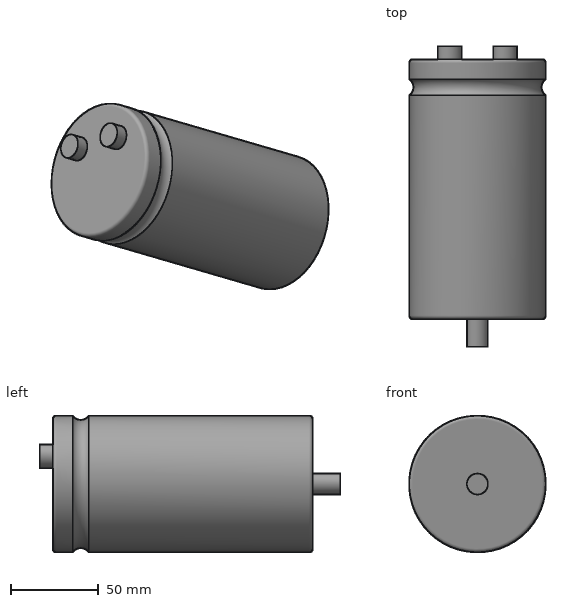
import cadquery as cq

overall_length = 171.6
can_radius = 78.0 / 2

stud_diameter = 12.0
stud_length = 15.8
terminal_diameter = 13.7
terminal_height = 7.5
terminal_offset = 15.8

can_length = overall_length - stud_length - terminal_height
edge_radius = 2.0

groove_center = can_length - 16.0
groove_half_width = 4.6
groove_depth = 2.4

pin_overlap = 1.7


def make_can():
    """Revolve the can profile, including the arc of the crimp groove, about Y."""
    profile = (
        cq.Workplane("XY")
        .lineTo(can_radius, 0)
        .lineTo(can_radius, groove_center - groove_half_width)
        .threePointArc(
            (can_radius - groove_depth, groove_center),
            (can_radius, groove_center + groove_half_width),
        )
        .lineTo(can_radius, can_length)
        .lineTo(0, can_length)
        .close()
    )
    can = profile.revolve(360, (0, 0, 0), (0, 1, 0))
    return can.faces("<Y or >Y").edges().fillet(edge_radius)


def make_pin(diameter, x, z, y_start, y_end):
    """Round pin parallel to Y, from y_start to y_end."""
    direction = cq.Vector(0, 1, 0)
    base = cq.Vector(x, y_start, z)
    return cq.Workplane(cq.Solid.makeCylinder(diameter / 2, y_end - y_start, base, direction))


result = make_can()

result = result.union(make_pin(stud_diameter, 0, 0, -stud_length, pin_overlap))

for side in (-1, 1):
    terminal = make_pin(
        terminal_diameter,
        side * terminal_offset,
        terminal_offset,
        can_length - pin_overlap,
        can_length + terminal_height,
    )
    result = result.union(terminal)